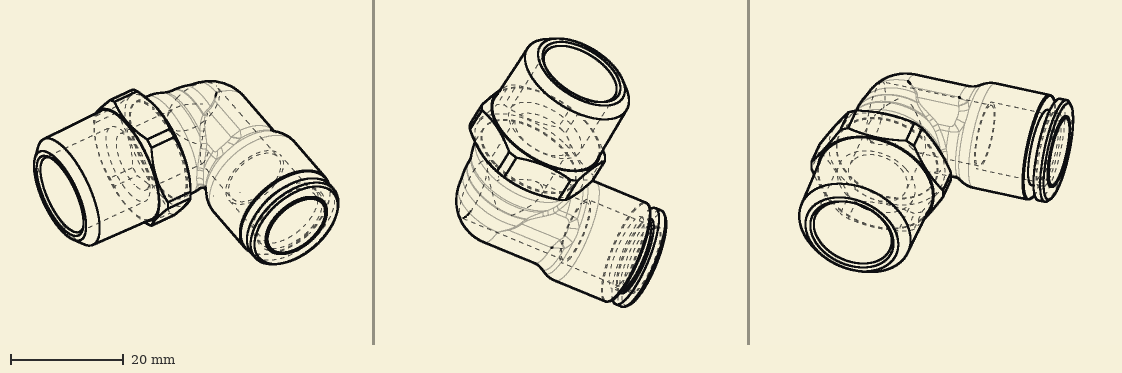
import cadquery as cq
import math


port_diameter = 19.0
port_end = 24.95
port_edge_length = 0.2
port_edge_drop = 0.1
tube_radius = 8.0
flare_start = 10.0
flare_angle = math.radians(30)
flare_blend_radius = 3.98

saddle_depth = 6.03
saddle_corner_radius = 3.77
saddle_blend_radius = 3.7

joint_margin = 0.05

collar_neck_diameter = 13.7
collar_diameter = 18.5
collar_start = 26.75
collar_face = 28.45
collar_chamfer = 0.5
collar_neck_chamfer = 0.33
collar_lip_diameter = 12.87
collar_lip_height = 0.12
collar_end = collar_face + collar_lip_height

elbow_taper = math.radians(10)
elbow_cone_end = -1.4
waist_top = -3.35
waist_bottom = -3.53
skirt_cone_start = -5.65
skirt_curve_length = 2.45
skirt_radius = port_diameter / 2
skirt_bottom = -10.75
skirt_angle = math.radians(19.5)
elbow_blend_radius = 0.8

seat_radius = 9.4

hex_across_flats = 22.0
hex_corner_diameter = 24.5
hex_top = -11.0
hex_bottom = -17.5
hex_face_diameter = 21.65
hex_chamfer_height = 0.85

thread_root_diameter = 21.28
thread_tip_diameter = 20.75
thread_end_diameter = 17.3
thread_chamfer_start = -29.75
overall_length = 41.0
thread_end = port_diameter / 2 - overall_length

passage_diameter = 11.0
port_bore_diameter = 12.15
port_bore_start = 14.75
thread_bore_diameter = 14.5
thread_bore_end = -17.2
thread_bore_mouth_diameter = 15.5
bore_cone_angle = math.radians(60)


def revolve_about_x(profile):
    return profile.close().revolve(360, (0, 0, 0), (1, 0, 0))


def revolve_about_y(profile):
    return profile.close().revolve(360, (0, 0, 0), (0, 1, 0))


def make_port():
    """Round tube that flares through an S-shaped shoulder into the port barrel."""
    port_radius = port_diameter / 2
    blend_length = flare_blend_radius * math.sin(flare_angle)
    blend_rise = flare_blend_radius * (1 - math.cos(flare_angle))
    cone_rise = port_radius - tube_radius - 2 * blend_rise
    cone_start = flare_start + blend_length
    cone_end = cone_start + cone_rise / math.tan(flare_angle)
    profile = (
        cq.Workplane("XY")
        .lineTo(0, tube_radius)
        .lineTo(flare_start, tube_radius)
        .tangentArcPoint((cone_start, tube_radius + blend_rise), relative=False)
        .lineTo(cone_end, port_radius - blend_rise)
        .tangentArcPoint((cone_end + blend_length, port_radius), relative=False)
        .lineTo(port_end - port_edge_length, port_radius)
        .lineTo(port_end, port_radius - port_edge_drop)
        .lineTo(port_end, 0)
    )
    return revolve_about_x(profile)


def make_saddle():
    """Flat-sided lower half of the horizontal tube, with rounded lower edges."""
    length = flare_start + flare_blend_radius
    block = cq.Workplane("XY").box(length, saddle_depth, 2 * tube_radius, centered=(False, False, True))
    return block.translate((0, -saddle_depth, 0)).edges("|X and <Y").fillet(saddle_corner_radius)


def make_release_collar():
    profile = (
        cq.Workplane("XY")
        .moveTo(port_bore_start, 0)
        .lineTo(port_bore_start, collar_neck_diameter / 2)
        .lineTo(collar_start - collar_neck_chamfer, collar_neck_diameter / 2)
        .lineTo(collar_start, collar_neck_diameter / 2 + collar_neck_chamfer)
        .lineTo(collar_start, collar_diameter / 2)
        .lineTo(collar_face - collar_chamfer, collar_diameter / 2)
        .lineTo(collar_face, collar_diameter / 2 - collar_chamfer)
        .lineTo(collar_face, collar_lip_diameter / 2)
        .lineTo(collar_end, collar_lip_diameter / 2)
        .lineTo(collar_end, 0)
    )
    return revolve_about_x(profile)


def make_elbow():
    """Spherical corner widening through a slight cone and a waist into the skirt above the hexagon."""
    sphere_end = tube_radius * math.sin(elbow_taper)
    sphere_end_radius = tube_radius * math.cos(elbow_taper)
    dome_angle = (math.pi / 2 + elbow_taper) / 2
    cone_end_radius = sphere_end_radius + (sphere_end - elbow_cone_end) * math.tan(elbow_taper)
    waist_radius = cone_end_radius + (elbow_cone_end - waist_top) * math.tan(elbow_taper / 2)

    waist_curve_length = waist_bottom - skirt_cone_start
    skirt_cone_small_radius = waist_radius + waist_curve_length * math.tan(skirt_angle / 2)
    skirt_cone_large_radius = skirt_radius - skirt_curve_length * math.tan(skirt_angle / 2)
    skirt_cone_height = (skirt_cone_large_radius - skirt_cone_small_radius) / math.tan(skirt_angle)
    skirt_cone_end = skirt_cone_start - skirt_cone_height
    profile = (
        cq.Workplane("XY")
        .moveTo(0, skirt_bottom)
        .lineTo(0, tube_radius)
        .threePointArc(
            (tube_radius * math.cos(dome_angle), tube_radius * math.sin(dome_angle)),
            (sphere_end_radius, sphere_end),
        )
        .lineTo(cone_end_radius, elbow_cone_end)
        .tangentArcPoint((waist_radius, waist_top), relative=False)
        .lineTo(waist_radius, waist_bottom)
        .tangentArcPoint((skirt_cone_small_radius, skirt_cone_start), relative=False)
        .lineTo(skirt_cone_large_radius, skirt_cone_end)
        .tangentArcPoint((skirt_radius, skirt_cone_end - skirt_curve_length), relative=False)
        .lineTo(skirt_radius, skirt_bottom)
    )
    return revolve_about_y(profile)


def make_seat():
    """Narrow ring between the skirt and the hexagon."""
    return cq.Workplane("XZ", origin=(0, skirt_bottom, 0)).circle(seat_radius).extrude(skirt_bottom - hex_top)


def make_hexagon():
    height = hex_top - hex_bottom
    corner_radius = hex_corner_diameter / 2
    face_radius = hex_face_diameter / 2
    prism = (
        cq.Workplane("XZ", origin=(0, hex_top, 0))
        .polygon(6, hex_across_flats / math.cos(math.pi / 6))
        .extrude(height)
    )
    turned_envelope = revolve_about_y(
        cq.Workplane("XY")
        .moveTo(0, hex_top)
        .lineTo(face_radius, hex_top)
        .lineTo(corner_radius, hex_top - hex_chamfer_height)
        .lineTo(corner_radius, hex_bottom + hex_chamfer_height)
        .lineTo(face_radius, hex_bottom)
        .lineTo(0, hex_bottom)
    )
    return prism.intersect(turned_envelope)


def make_thread():
    profile = (
        cq.Workplane("XY")
        .moveTo(0, hex_bottom)
        .lineTo(thread_root_diameter / 2, hex_bottom)
        .lineTo(thread_tip_diameter / 2, thread_chamfer_start)
        .lineTo(thread_end_diameter / 2, thread_end)
        .lineTo(0, thread_end)
    )
    return revolve_about_y(profile)


def make_thread_passage():
    """Stepped bore from the threaded end up to the port axis."""
    bore_radius = thread_bore_diameter / 2
    passage_radius = passage_diameter / 2
    mouth_radius = thread_bore_mouth_diameter / 2
    cone_height = (bore_radius - passage_radius) / math.tan(bore_cone_angle)
    profile = (
        cq.Workplane("XY")
        .lineTo(passage_radius, 0)
        .lineTo(passage_radius, thread_bore_end + cone_height)
        .lineTo(bore_radius, thread_bore_end)
        .lineTo(bore_radius, thread_end + mouth_radius - bore_radius)
        .lineTo(mouth_radius, thread_end)
        .lineTo(0, thread_end)
    )
    return revolve_about_y(profile)


def make_port_passage():
    """Bore from the elbow corner out through the release collar."""
    profile = (
        cq.Workplane("XY")
        .moveTo(-passage_diameter / 2, 0)
        .lineTo(-passage_diameter / 2, passage_diameter / 2)
        .lineTo(port_bore_start, passage_diameter / 2)
        .lineTo(port_bore_start, port_bore_diameter / 2)
        .lineTo(collar_end, port_bore_diameter / 2)
        .lineTo(collar_end, 0)
    )
    return revolve_about_x(profile)


def blend_saddle(body):
    """Round the meeting lines of the saddle and the flared shoulder."""
    beside_shoulder = cq.selectors.BoxSelector(
        (flare_start - joint_margin, -saddle_depth - joint_margin, -port_diameter / 2),
        (port_bore_start, -joint_margin, port_diameter / 2),
    )
    return body.edges(beside_shoulder - cq.selectors.TypeSelector("LINE")).fillet(saddle_blend_radius)


def blend_elbow(body):
    """Round the line where the horizontal tube and its saddle run into the elbow."""
    beside_elbow = cq.selectors.BoxSelector(
        (joint_margin, -tube_radius, -tube_radius),
        (skirt_radius, elbow_cone_end, tube_radius),
    )
    circles_and_lines = cq.selectors.StringSyntaxSelector("%CIRCLE or %LINE")
    return body.edges(beside_elbow - circles_and_lines).fillet(elbow_blend_radius)


elbow_body = make_elbow().union(make_saddle()).union(make_port())
elbow_body = blend_saddle(elbow_body)
elbow_body = blend_elbow(elbow_body)

result = elbow_body
for piece in (make_seat(), make_hexagon(), make_thread(), make_release_collar()):
    result = result.union(piece)
result = result.cut(make_thread_passage()).cut(make_port_passage())